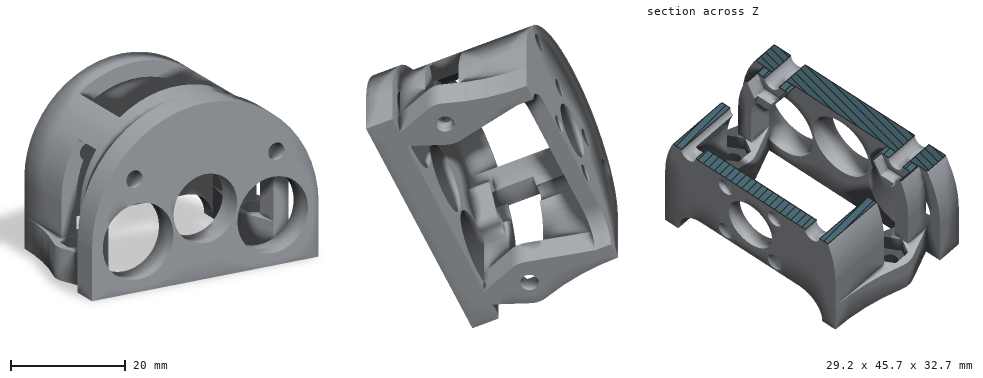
import cadquery as cq
import math

SIDES = (1, -1)

flange_width = 45.65
flange_height = 32.7
flange_thickness = 5.0
flange_bore_diameter = 12.8
side_bore_diameter = 14.2
side_bore_y = 13.55
side_bore_z = 9.4

total_length = 29.2
housing_length = total_length - flange_thickness
outer_radius = 19.63
wall = 3.0
inner_radius = outer_radius - wall
axis_z = flange_height - outer_radius

front_bore_diameter = 10.0
small_hole_diameter = 3.25
small_hole_offset = 5.65
arch_height = 5.35

window_start = 5.0
window_end = 19.25
window_angle = 72.0
window_rim = 0.5
window_slope = 30.0

screw_hole_diameter = 3.25
screw_y = 14.3
screw_z = 21.1
pad_length = 4.0
pad_inner_radius = 13.15
pad_flat_half_width = 2.85
pad_blend_radius = 1.5
pad_nut_end = 22.2

ear_height = 6.05
ear_radius = 4.35
ear_x = 16.2
ear_y = 18.1
ear_hole_diameter = 3.2
ear_nut_depth = 3.0
ear_slot_width = 6.45
ear_slot_top = 23.9

nut_flats = 5.7
nut_corners = nut_flats / math.cos(math.radians(30))


def arch_prism(radius, height, length):
    """Half-round top on straight sides down to Z = 0, extruded along X."""
    spring_z = height - radius
    return (
        cq.Workplane("YZ")
        .moveTo(-radius, 0)
        .lineTo(-radius, spring_z)
        .threePointArc((0, height), (radius, spring_z))
        .lineTo(radius, 0)
        .close()
        .extrude(length)
    )


def x_cylinders(points, diameter, start, length):
    """Cylinders along X at the given (Y, Z) points."""
    return cq.Workplane("YZ", origin=(start, 0, 0)).pushPoints(points).circle(diameter / 2).extrude(length)


screw_points = [(side * screw_y, screw_z) for side in SIDES]


def make_flange():
    plate = arch_prism(flange_width / 2, flange_height, flange_thickness)
    plate = plate.translate((housing_length, 0, 0))
    side_bores = [(side * side_bore_y, side_bore_z) for side in SIDES]
    for points, diameter in (
        ([(0, axis_z)], flange_bore_diameter),
        (side_bores, side_bore_diameter),
        (screw_points, screw_hole_diameter),
    ):
        plate = plate.cut(x_cylinders(points, diameter, housing_length, flange_thickness))
    return plate


def make_shell():
    """Arched shell closed by the front plate and open at the rear and base."""
    outside = arch_prism(outer_radius, flange_height, housing_length)
    inside = arch_prism(inner_radius, axis_z + inner_radius, housing_length - wall)
    return outside.cut(inside.translate((wall, 0, 0)))


def make_front_cut():
    """Central bore, ring of small holes and the arched base opening of the front plate."""
    small_points = [
        (y_side * small_hole_offset, axis_z + z_side * small_hole_offset)
        for y_side in SIDES
        for z_side in SIDES
    ]
    bore = x_cylinders([(0, axis_z)], front_bore_diameter, 0, wall)
    small_holes = x_cylinders(small_points, small_hole_diameter, 0, wall)

    flat_half = inner_radius - arch_height
    arch = (
        cq.Workplane("YZ")
        .moveTo(-inner_radius, 0)
        .radiusArc((-flat_half, arch_height), arch_height)
        .lineTo(flat_half, arch_height)
        .radiusArc((inner_radius, 0), arch_height)
        .close()
        .extrude(wall)
    )
    return bore.union(small_holes).union(arch)


def make_window_cut():
    """Sector cut through the top of the wall; its rear end runs inward down a slope."""
    rim_radius = outer_radius - window_rim
    slope_end = window_end + (rim_radius - inner_radius) / math.tan(math.radians(window_slope))
    beyond_wall = outer_radius + wall
    return (
        cq.Workplane("XZ", origin=(0, 0, axis_z))
        .moveTo(window_start, inner_radius)
        .lineTo(window_start, beyond_wall)
        .lineTo(window_end, beyond_wall)
        .lineTo(window_end, rim_radius)
        .lineTo(slope_end, inner_radius)
        .close()
        .revolve(window_angle, (0, 0, 0), (1, 0, 0))
        .rotate((0, 0, axis_z), (1, 0, axis_z), -window_angle / 2)
    )


def nut_pocket(workplane, depth):
    return workplane.polygon(6, nut_corners).extrude(depth)


def circle_point(centre, radius, angle):
    return (centre[0] + radius * math.cos(angle), centre[1] + radius * math.sin(angle))


def mirrored(point):
    return (-point[0], point[1])


def make_pad():
    """Pad on the +Y side of the wall: flat, square to the screw's radius, with S-shaped ends."""
    corner = (pad_flat_half_width, pad_inner_radius + pad_blend_radius)
    corner_reach = math.hypot(*corner)
    fillet_reach = inner_radius - pad_blend_radius
    centre_gap = 2 * pad_blend_radius
    cosine = (corner_reach**2 + fillet_reach**2 - centre_gap**2) / (2 * corner_reach * fillet_reach)
    fillet_angle = math.atan2(corner[1], corner[0]) - math.acos(cosine)
    fillet = circle_point((0, 0), fillet_reach, fillet_angle)

    seam_angle = math.atan2(fillet[1] - corner[1], fillet[0] - corner[0])
    seam = circle_point(corner, pad_blend_radius, seam_angle)
    corner_middle = circle_point(corner, pad_blend_radius, (seam_angle - math.pi / 2) / 2)
    fillet_middle = circle_point(fillet, pad_blend_radius, (seam_angle + math.pi + fillet_angle) / 2)
    wall_end = circle_point((0, 0), inner_radius, fillet_angle)
    flat_end = (pad_flat_half_width, pad_inner_radius)

    screw_angle = math.atan2(screw_z - axis_z, screw_y)
    plane = cq.Plane(
        origin=(housing_length - pad_length, 0, axis_z),
        xDir=(0, math.sin(screw_angle), -math.cos(screw_angle)),
        normal=(1, 0, 0),
    )
    return (
        cq.Workplane(plane)
        .moveTo(*wall_end)
        .threePointArc(fillet_middle, seam)
        .threePointArc(corner_middle, flat_end)
        .lineTo(*mirrored(flat_end))
        .threePointArc(mirrored(corner_middle), mirrored(seam))
        .threePointArc(mirrored(fillet_middle), mirrored(wall_end))
        .threePointArc((0, inner_radius + wall / 2), wall_end)
        .close()
        .extrude(pad_length)
    )


def make_pad_cut():
    """Nut pocket of the +Y pad, and its screw hole along the whole housing."""
    hole = x_cylinders([(screw_y, screw_z)], screw_hole_diameter, 0, housing_length)
    pocket = nut_pocket(cq.Workplane("YZ", origin=(ear_x, screw_y, screw_z)), pad_nut_end - ear_x)
    return hole.union(pocket)


def tangent_point(start, turn):
    """Where the line from `start` touches the ear's round end; `turn` (1 or -1) picks the side."""
    dx = start[0] - ear_x
    dy = start[1] - ear_y
    angle = math.atan2(dy, dx) + turn * math.acos(ear_radius / math.hypot(dx, dy))
    return circle_point((ear_x, ear_y), ear_radius, angle)


def make_ear():
    """Ear on the +Y side that bulges around its screw hole, outside and inside the wall."""
    rear_outside = (housing_length, outer_radius)
    rear_inside = (housing_length, inner_radius)
    front_inside = (wall, inner_radius)
    rear_tangent = tangent_point(rear_outside, 1)
    front_tangent = (2 * ear_x - rear_tangent[0], rear_tangent[1])
    rise = front_tangent[1] - outer_radius
    sweep_radius = (front_tangent[0] ** 2 + rise**2) / (2 * rise)
    return (
        cq.Workplane("XY")
        .moveTo(0, inner_radius)
        .lineTo(0, outer_radius)
        .radiusArc(front_tangent, -sweep_radius)
        .threePointArc((ear_x, ear_y + ear_radius), rear_tangent)
        .lineTo(*rear_outside)
        .lineTo(*rear_inside)
        .lineTo(*tangent_point(rear_inside, -1))
        .threePointArc((ear_x, ear_y - ear_radius), tangent_point(front_inside, 1))
        .lineTo(*front_inside)
        .close()
        .extrude(ear_height)
    )


def make_ear_cut():
    """Slot through the wall above the +Y ear, with the ear's screw hole and nut pocket."""
    slot = (
        cq.Workplane("XY", origin=(ear_x, outer_radius / 2, ear_height))
        .rect(ear_slot_width, outer_radius)
        .extrude(ear_slot_top - ear_height)
    )
    pocket = nut_pocket(cq.Workplane("XY", origin=(ear_x, ear_y, ear_height)), -ear_nut_depth)
    hole = cq.Workplane("XY", origin=(ear_x, ear_y, 0)).circle(ear_hole_diameter / 2).extrude(ear_height)
    return slot.union(pocket).union(hole)


def make_housing():
    body = make_shell()
    for addition in (make_ear(), make_pad()):
        body = body.union(addition).union(addition.mirror("XZ"))
    for side_cut in (make_ear_cut(), make_pad_cut()):
        body = body.cut(side_cut).cut(side_cut.mirror("XZ"))
    return body.cut(make_front_cut()).cut(make_window_cut())


flange = make_flange()
housing = make_housing()
result = cq.Compound.makeCompound([housing.val(), flange.val()])